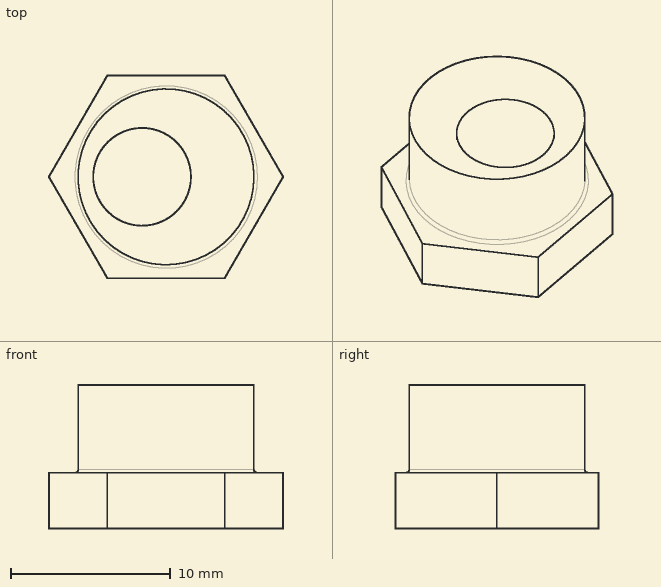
import cadquery as cq

hex_across_corners = 14.67
hex_height = 3.5
total_height = 9.0
boss_diameter = 11.0
boss_root_fillet = 0.2
bore_diameter = 6.1
bore_offset = 1.5


def make_hex_flange():
    """Hexagonal base with two corners on the X axis."""
    return cq.Workplane("XY").polygon(6, hex_across_corners).extrude(hex_height)


def add_boss(body):
    """Round boss on the hexagon, with a small fillet around its root."""
    boss = cq.Workplane("XY").circle(boss_diameter / 2).extrude(total_height)
    stepped = body.union(boss)
    root_edge = stepped.edges("%CIRCLE").edges(cq.selectors.NearestToPointSelector((0, 0, hex_height)))
    return root_edge.fillet(boss_root_fillet)


def cut_bore(body):
    """Eccentric bore through the full height."""
    bore = cq.Workplane("XY").center(-bore_offset, 0).circle(bore_diameter / 2).extrude(total_height)
    return body.cut(bore)


result = cut_bore(add_boss(make_hex_flange()))